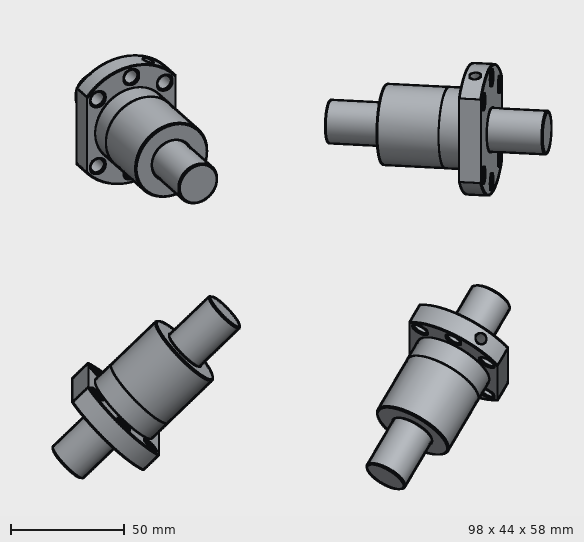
import cadquery as cq
import math

SHAFT_LENGTH = 98.0
SHAFT_DIAMETER = 19.3
SHAFT_RADIUS = SHAFT_DIAMETER / 2
SHAFT_CHAMFER = 0.5

FLANGE_START = 25.0
FLANGE_THICKNESS = 10.0
FLANGE_RADIUS = 29.0
FLANGE_WIDTH = 44.0
FIT_LENGTH = 10.0
BARREL_END = 73.0
FIT_DIAMETER = 36.0
FIT_RADIUS = FIT_DIAMETER / 2
BARREL_DIAMETER = 35.9
BARREL_RADIUS = BARREL_DIAMETER / 2
RIM_CHAMFER = 0.3
BARREL_CHAMFER = 0.5
BORE_RADIUS = SHAFT_RADIUS
BORE_CHAMFER = 0.3
FLANGE_END = FLANGE_START + FLANGE_THICKNESS
FIT_END = FLANGE_END + FIT_LENGTH

HOLE_DIAMETER = 6.7
HOLE_CHAMFER = 0.6
HOLE_CIRCLE_RADIUS = 23.5
HOLE_ANGLES = (45, 90, 135, 225, 270, 315)

OIL_HOLE_DIAMETER = 5.1
OIL_HOLE_ANGLE = (90 - 45) / 2


def x_cylinder(start, length, radius):
    """Cylinder on the X axis, starting at the given X."""
    return cq.Workplane("YZ", origin=(start, 0, 0)).circle(radius).extrude(length)


def make_shaft():
    shaft = x_cylinder(0, SHAFT_LENGTH, SHAFT_RADIUS)
    return shaft.faces("<X or >X").chamfer(SHAFT_CHAMFER)


def make_flange():
    disc = x_cylinder(FLANGE_START, FLANGE_THICKNESS, FLANGE_RADIUS)
    disc = disc.faces("<X or >X").chamfer(RIM_CHAMFER)
    trim = cq.Workplane("YZ", origin=(FLANGE_START, 0, 0))
    trim = trim.rect(FLANGE_WIDTH, 2 * FLANGE_RADIUS).extrude(FLANGE_THICKNESS)
    return disc.intersect(trim)


def make_barrel():
    fit = x_cylinder(FLANGE_END, FIT_LENGTH, FIT_RADIUS)
    barrel = x_cylinder(FIT_END, BARREL_END - FIT_END, BARREL_RADIUS)
    return fit.union(barrel.faces(">X").chamfer(BARREL_CHAMFER))


def make_flared_hole(start, end, radius, chamfer):
    """Cutter on the X axis, flared by the chamfer at both ends."""
    mouth_radius = radius + chamfer
    profile = (
        cq.Workplane("XY")
        .moveTo(start, 0)
        .lineTo(start, mouth_radius)
        .lineTo(start + chamfer, radius)
        .lineTo(end - chamfer, radius)
        .lineTo(end, mouth_radius)
        .lineTo(end, 0)
        .close()
    )
    return profile.revolve(360, (0, 0, 0), (1, 0, 0))


def make_mounting_hole(angle):
    cutter = make_flared_hole(FLANGE_START, FLANGE_END, HOLE_DIAMETER / 2, HOLE_CHAMFER)
    y = HOLE_CIRCLE_RADIUS * math.cos(math.radians(angle))
    z = HOLE_CIRCLE_RADIUS * math.sin(math.radians(angle))
    return cutter.translate((0, y, z))


def make_oil_hole():
    """Cutter running outward from the nut axis to the flange rim."""
    mid_flange = FLANGE_START + FLANGE_THICKNESS / 2
    drill = cq.Workplane("XY", origin=(mid_flange, 0, 0))
    drill = drill.circle(OIL_HOLE_DIAMETER / 2).extrude(FLANGE_RADIUS)
    return drill.rotate((0, 0, 0), (1, 0, 0), -OIL_HOLE_ANGLE)


def make_nut():
    nut = make_flange().union(make_barrel())
    nut = nut.cut(make_flared_hole(FLANGE_START, BARREL_END, BORE_RADIUS, BORE_CHAMFER))
    for angle in HOLE_ANGLES:
        nut = nut.cut(make_mounting_hole(angle))
    return nut.cut(make_oil_hole())


shaft = make_shaft()
nut = make_nut()

result = cq.Compound.makeCompound([shaft.val(), nut.val()])